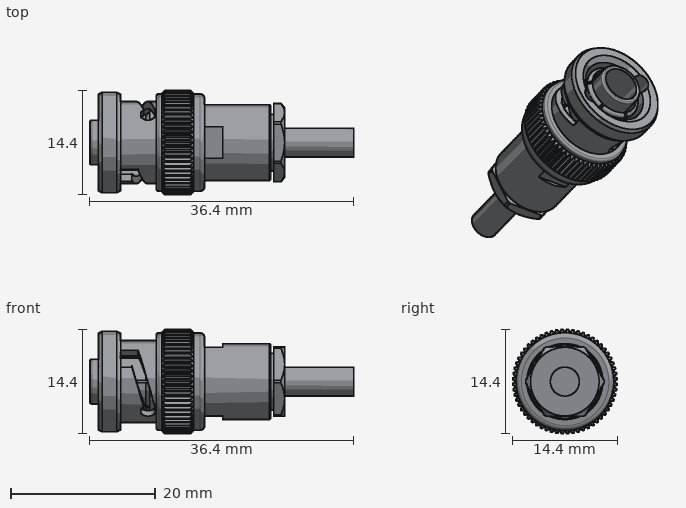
import cadquery as cq
import math


TOTAL_LENGTH = 36.4

NUT_FRONT = 1.15
FLANGE_END = 4.22
FLANGE_RADIUS = 6.95
FLANGE_CHAMFER_LENGTH = 0.55
FLANGE_CHAMFER_DEPTH = 0.3
MOUTH_RADIUS = 5.42
MOUTH_DEPTH = 0.65
NUT_BORE_RADIUS = 4.65
TUBE_RADIUS = 5.68
GRIP_START = 9.15
GRIP_END = 15.85
GRIP_RADIUS = 6.75
GRIP_FRONT_FILLET = 0.35
GRIP_REAR_FILLET = 0.7

KNURL_START = 9.9
KNURL_END = 14.3
KNURL_DIAMETER = 14.45
KNURL_RADIUS = KNURL_DIAMETER / 2
KNURL_CHAMFER = 0.47
KNURL_TEETH = 60
TOOTH_LAND = 0.22

SLOT_COUNT = 2
ENTRY_TOP = 49.4
ENTRY_BOTTOM = 20.6
ENTRY_END = 5.8
ENTRY_GROOVE_RADIUS = 1.2
ENTRY_GROOVE_OFFSET = 4.77
RAMP_START = 5.05
RAMP_WIDTH = 1.55
RAMP_BOTTOM = -42.0
RAMP_PITCH = 9.75
SEAT_X = 8.0
SEAT_ELEVATION = -46.6
SEAT_RADIUS = 1.02
CUT_OVERRUN = 0.55

COLLAR_START = 8.23
COLLAR_RADIUS = 4.22
CONTACT_END = 9.1
SLEEVE_RADIUS = 3.1
SLEEVE_BORE_RADIUS = 2.48
SLEEVE_FILLET = 0.25
SLEEVE_FLOOR = 6.55
SHOULDER_RADIUS = 3.3
SHOULDER_START = 6.2
WEB_START = 6.55
FINGER_TIP = 1.82
FINGER_INNER_RADIUS = 3.53
FINGER_TIP_RADIUS = 4.08
FINGER_WAIST_START = 3.28
FINGER_WAIST_END = 7.68
FINGER_WAIST_RADIUS = 3.82
FINGER_COUNT = 6
FINGER_GAP = 0.33

PIN_RADIUS = 0.73
PIN_TIP = 3.65
PIN_CONE_LENGTH = 0.73
BARREL_RADIUS = 5.25
BARREL_END = 24.95
BARREL_CHAMFER = 0.2
WRENCH_FLAT_HEIGHT = 4.77
WRENCH_FLAT_END = 18.3
CLAMP_NECK_RADIUS = 3.93
HEX_START = 25.35
HEX_END = 26.9
HEX_ACROSS_FLATS = 9.57
HEX_CORNER_RADIUS = 5.42
HEX_CONE_START = 26.35
HEX_CONE_END_RADIUS = 4.75
CABLE_RADIUS = 2.0


def revolve_about_x(sketch):
    """Turn a closed half-profile drawn in XY once around the X axis."""
    return sketch.close().revolve(360, (0, 0, 0), (1, 0, 0))


def rod(start, end, radius):
    """A cylinder on the X axis."""
    return cq.Workplane("YZ", origin=(start, 0, 0)).circle(radius).extrude(end - start)


def turn_to(body, elevation):
    """Swing a body modelled at -Y up to an elevation about X."""
    return body.rotate((0, 0, 0), (1, 0, 0), -elevation)


def nut_blank():
    """Flange, tube and rounded grip around a plain bore with a coned mouth."""
    chamfer_radius = FLANGE_RADIUS - FLANGE_CHAMFER_DEPTH
    profile = (
        cq.Workplane("XY")
        .moveTo(NUT_FRONT, MOUTH_RADIUS)
        .lineTo(NUT_FRONT, chamfer_radius)
        .lineTo(NUT_FRONT + FLANGE_CHAMFER_LENGTH, FLANGE_RADIUS)
        .lineTo(FLANGE_END - FLANGE_CHAMFER_LENGTH, FLANGE_RADIUS)
        .lineTo(FLANGE_END, chamfer_radius)
        .lineTo(FLANGE_END, TUBE_RADIUS)
        .lineTo(GRIP_START, TUBE_RADIUS)
        .lineTo(GRIP_START, GRIP_RADIUS - GRIP_FRONT_FILLET)
        .radiusArc((GRIP_START + GRIP_FRONT_FILLET, GRIP_RADIUS), GRIP_FRONT_FILLET)
        .lineTo(GRIP_END - GRIP_REAR_FILLET, GRIP_RADIUS)
        .radiusArc((GRIP_END, GRIP_RADIUS - GRIP_REAR_FILLET), GRIP_REAR_FILLET)
        .lineTo(GRIP_END, NUT_BORE_RADIUS)
        .lineTo(NUT_FRONT + MOUTH_DEPTH, NUT_BORE_RADIUS)
    )
    return revolve_about_x(profile)


def knurl():
    """A chamfered ring trimmed to V-grooved teeth, with a groove centred on each axis."""
    ring = revolve_about_x(
        cq.Workplane("XY")
        .moveTo(KNURL_START, TUBE_RADIUS)
        .lineTo(KNURL_START, GRIP_RADIUS)
        .lineTo(KNURL_START + KNURL_CHAMFER, KNURL_RADIUS)
        .lineTo(KNURL_END - KNURL_CHAMFER, KNURL_RADIUS)
        .lineTo(KNURL_END, GRIP_RADIUS)
        .lineTo(KNURL_END, TUBE_RADIUS)
    )
    pitch = 2 * math.pi / KNURL_TEETH
    half_land = TOOTH_LAND / KNURL_RADIUS / 2
    tip_radius = KNURL_RADIUS / math.cos(half_land)
    outline = []
    for tooth in range(KNURL_TEETH):
        middle = (tooth + 0.5) * pitch
        for radius, angle in (
            (GRIP_RADIUS, middle - pitch / 2),
            (tip_radius, middle - half_land),
            (tip_radius, middle + half_land),
        ):
            outline.append((radius * math.cos(angle), radius * math.sin(angle)))
    teeth = (
        cq.Workplane("YZ", origin=(KNURL_START, 0, 0))
        .polyline(outline)
        .close()
        .extrude(KNURL_END - KNURL_START)
    )
    return ring.intersect(teeth)


def slot_entry():
    """Straight slot with radial sides through the tube, and a round groove inside the flange."""
    half_angle = math.radians(ENTRY_TOP - ENTRY_BOTTOM) / 2
    side_length = TUBE_RADIUS + CUT_OVERRUN
    across = side_length * math.sin(half_angle)
    along = side_length * math.cos(half_angle)
    wedge = (
        cq.Workplane("YZ", origin=(FLANGE_END, 0, 0))
        .polyline([(0, 0), (-along, across), (-along, -across)])
        .close()
        .extrude(ENTRY_END - FLANGE_END)
    )
    groove = (
        cq.Workplane("YZ", origin=(NUT_FRONT, 0, 0))
        .center(-ENTRY_GROOVE_OFFSET, 0)
        .circle(ENTRY_GROOVE_RADIUS)
        .extrude(FLANGE_END - NUT_FRONT)
    )
    return turn_to(wedge.union(groove), (ENTRY_TOP + ENTRY_BOTTOM) / 2)


def slot_ramp():
    """Rectangular section carried along a right-hand helix, from the entry to the seat."""
    inside = NUT_BORE_RADIUS - CUT_OVERRUN
    outside = TUBE_RADIUS + CUT_OVERRUN
    rise = RAMP_PITCH * (ENTRY_TOP - RAMP_BOTTOM) / 360
    helix = cq.Workplane(cq.Wire.makeHelix(RAMP_PITCH, rise, TUBE_RADIUS))
    ramp = (
        cq.Workplane("XZ")
        .moveTo((inside + outside) / 2, RAMP_WIDTH / 2)
        .rect(outside - inside, RAMP_WIDTH)
        .sweep(helix, isFrenet=True)
    )
    along_x = ramp.rotate((0, 0, 0), (0, 1, 0), 90).translate((RAMP_START, 0, 0))
    at_minus_y = along_x.rotate((0, 0, 0), (1, 0, 0), -90)
    return turn_to(at_minus_y, ENTRY_TOP)


def slot_seat():
    """Round radial hole through one wall of the tube."""
    seat = (
        cq.Workplane("XZ")
        .center(SEAT_X, 0)
        .circle(SEAT_RADIUS)
        .extrude(TUBE_RADIUS + CUT_OVERRUN)
    )
    return turn_to(seat, SEAT_ELEVATION)


def make_coupling_nut():
    """Nut with its knurl and both bayonet slots."""
    nut = nut_blank().union(knurl())
    for slot in range(SLOT_COUNT):
        swing = slot * 360 / SLOT_COUNT
        for cutter in (slot_entry(), slot_ramp(), slot_seat()):
            nut = nut.cut(turn_to(cutter, swing))
    return nut


def make_front_contact():
    """Bored sleeve, slit spring fingers flaring to the collar seated in the rear body."""
    tip_radius = FINGER_TIP_RADIUS - FINGER_INNER_RADIUS
    contact = revolve_about_x(
        cq.Workplane("XY")
        .moveTo(0, SLEEVE_BORE_RADIUS)
        .lineTo(0, SLEEVE_RADIUS - SLEEVE_FILLET)
        .radiusArc((SLEEVE_FILLET, SLEEVE_RADIUS), SLEEVE_FILLET)
        .lineTo(SHOULDER_START, SLEEVE_RADIUS)
        .lineTo(SHOULDER_START, SHOULDER_RADIUS)
        .lineTo(WEB_START, SHOULDER_RADIUS)
        .lineTo(WEB_START, FINGER_INNER_RADIUS)
        .lineTo(FINGER_TIP, FINGER_INNER_RADIUS)
        .radiusArc((FINGER_TIP + tip_radius, FINGER_TIP_RADIUS), tip_radius)
        .lineTo(FINGER_WAIST_START, FINGER_WAIST_RADIUS)
        .lineTo(FINGER_WAIST_END, FINGER_WAIST_RADIUS)
        .lineTo(COLLAR_START, COLLAR_RADIUS)
        .lineTo(CONTACT_END, COLLAR_RADIUS)
        .lineTo(CONTACT_END, PIN_RADIUS)
        .lineTo(SLEEVE_FLOOR, PIN_RADIUS)
        .lineTo(SLEEVE_FLOOR, SLEEVE_BORE_RADIUS)
    )
    gap = (
        cq.Workplane("YZ", origin=(FINGER_TIP, 0, 0))
        .center(-FINGER_TIP_RADIUS, 0)
        .rect(2 * FINGER_TIP_RADIUS, FINGER_GAP)
        .extrude(COLLAR_START - FINGER_TIP)
        .cut(rod(FINGER_TIP, COLLAR_START, FINGER_INNER_RADIUS))
    )
    for finger in range(FINGER_COUNT):
        contact = contact.cut(turn_to(gap, finger * 360 / FINGER_COUNT))
    return contact


def turned_shank():
    """Pin, shank, barrel and clamp neck in one turned profile, followed by the cable."""
    profile = (
        cq.Workplane("XY")
        .moveTo(PIN_TIP, 0)
        .lineTo(PIN_TIP + PIN_CONE_LENGTH, PIN_RADIUS)
        .lineTo(CONTACT_END, PIN_RADIUS)
        .lineTo(CONTACT_END, COLLAR_RADIUS)
        .lineTo(COLLAR_START, COLLAR_RADIUS)
        .lineTo(COLLAR_START, NUT_BORE_RADIUS)
        .lineTo(GRIP_END, NUT_BORE_RADIUS)
        .lineTo(GRIP_END, BARREL_RADIUS)
        .lineTo(BARREL_END - BARREL_CHAMFER, BARREL_RADIUS)
        .lineTo(BARREL_END, BARREL_RADIUS - BARREL_CHAMFER)
        .lineTo(BARREL_END, CLAMP_NECK_RADIUS)
        .lineTo(HEX_START, CLAMP_NECK_RADIUS)
        .lineTo(HEX_START, CABLE_RADIUS)
        .lineTo(TOTAL_LENGTH, CABLE_RADIUS)
        .lineTo(TOTAL_LENGTH, 0)
    )
    return revolve_about_x(profile)


def wrench_flats():
    """Material to remove above and below the front of the barrel to leave two flats."""
    length = WRENCH_FLAT_END - GRIP_END
    width = 2 * BARREL_RADIUS
    start = cq.Workplane("YZ", origin=(GRIP_END, 0, 0))
    stock = start.rect(width, width).extrude(length)
    kept = start.rect(width, 2 * WRENCH_FLAT_HEIGHT).extrude(length)
    return stock.cut(kept)


def clamp_hexagon():
    """Hexagon with flats facing +Z and -Z, its corners turned down and its rear edge coned."""
    corner_diameter = HEX_ACROSS_FLATS / math.cos(math.pi / 6)
    hexagon = (
        cq.Workplane("YZ", origin=(HEX_START, 0, 0))
        .polygon(6, corner_diameter)
        .extrude(HEX_END - HEX_START)
    )
    envelope = revolve_about_x(
        cq.Workplane("XY")
        .moveTo(HEX_START, 0)
        .lineTo(HEX_START, HEX_CORNER_RADIUS)
        .lineTo(HEX_CONE_START, HEX_CORNER_RADIUS)
        .lineTo(HEX_END, HEX_CONE_END_RADIUS)
        .lineTo(HEX_END, 0)
    )
    return hexagon.intersect(envelope)


def make_rear_body():
    """Turned pin-to-cable shaft with wrench flats and the clamp hexagon."""
    return turned_shank().cut(wrench_flats()).union(clamp_hexagon())


coupling_nut = make_coupling_nut()
front_contact = make_front_contact()
rear_body = make_rear_body()

result = cq.Compound.makeCompound(
    [coupling_nut.val(), front_contact.val(), rear_body.val()]
)